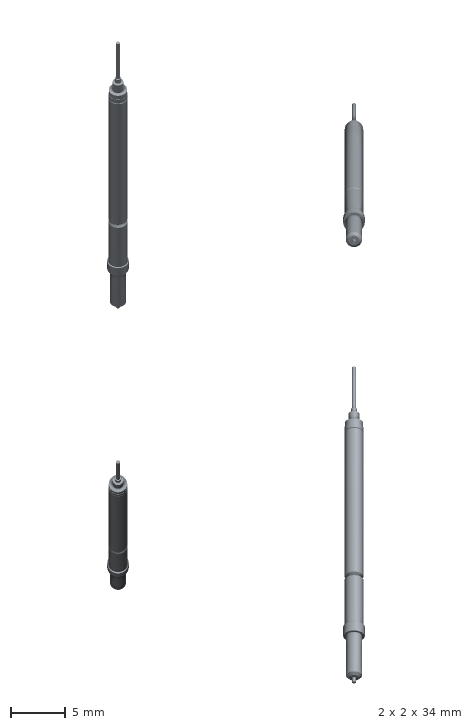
import cadquery as cq

wire_diameter = 0.35
tail_diameter = 1.5
collar_diameter = 2.0
barrel_diameter = 1.75
cap_diameter = 1.7
plunger_diameter = 1.0
ferrule_diameter = 0.55

total_height = 34.0
tail_bottom = 0.5
collar_bottom = 5.0
collar_top = 6.0
crimp_height = 11.25
cap_groove_height = 27.0
cap_bottom = 27.5
cap_top = 28.0
plunger_top = 29.0
ferrule_top = 29.5

tail_chamfer = 0.25
crimp_width = 0.4
crimp_depth = 0.2
cap_groove_width = 0.1
cap_groove_depth = 0.05


def cylinder(diameter, bottom, top):
    """Round section of the stack on the Z axis."""
    return cq.Workplane("XY").workplane(offset=bottom).circle(diameter / 2).extrude(top - bottom)


def ring_groove(height, width, depth):
    """V-shaped ring, widest at the barrel surface."""
    radius = barrel_diameter / 2
    profile = [
        (-radius, height - width / 2),
        (-radius + depth, height),
        (-radius, height + width / 2),
    ]
    return cq.Workplane("XZ").polyline(profile).close().revolve(360, (0, 0, 0), (0, 1, 0))


sections = [
    cylinder(wire_diameter, 0, tail_bottom),
    cylinder(tail_diameter, tail_bottom, collar_bottom).faces("<Z").edges().chamfer(tail_chamfer),
    cylinder(collar_diameter, collar_bottom, collar_top),
    cylinder(barrel_diameter, collar_top, cap_bottom),
    cylinder(cap_diameter, cap_bottom, cap_top),
    cylinder(plunger_diameter, cap_top, plunger_top),
    cylinder(ferrule_diameter, plunger_top, ferrule_top),
    cylinder(wire_diameter, ferrule_top, total_height),
]

result = sections[0]
for section in sections[1:]:
    result = result.union(section)
result = result.cut(ring_groove(crimp_height, crimp_width, crimp_depth))
result = result.cut(ring_groove(cap_groove_height, cap_groove_width, cap_groove_depth))